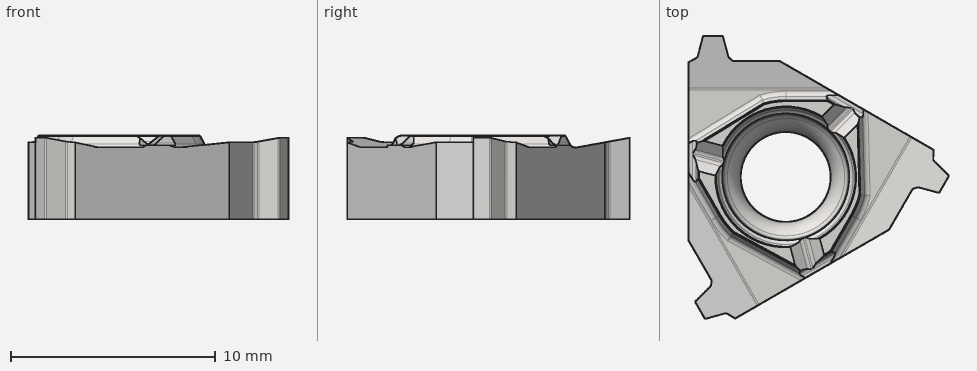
import cadquery as cq
import math

CORNERS = 3
CORNER_STEP = 360 / CORNERS
REACH = 12.0

inradius = 9.525 / 2
shoulder_y = 5.67
tip_y = 6.89
land_end_y = 5.60
left_root = (-4.315, 5.845)
left_tip_x = -4.045
right_tip_x = -3.067
right_root_top = (-2.79, 5.85)
right_root_end_x = -2.59
tip_radius = 0.08
left_root_radius = 0.1
right_root_radius = 0.15

floor_z = 3.52
tip_z = 3.99
boss_z = 4.1
crease_y = 4.305
crease_radius = 0.5

edge_break = 0.04
foot_radius = 0.3
flank_angle = 27.0
main_normal = 90.0
main_top = 3.735
back_top = 3.61
back_normal = 121.5
land_top = 4.27
land_normal = 180.0
land_flank_angle = 18.0
land_foot_radius = 0.2
land_z = 3.61

notch_angle = 165.0
notch_offset = 0.08
notch_floor_z = 3.62
notch_top_width = 1.5
notch_floor_width = 0.3
notch_fillet = 0.3
notch_start = 2.0

throat_radius = 2.19
throat_z = 0.83
seat_radius = 1.9
seat_angle = 50.0
seat_blend_radius = 0.5
wall_taper = 5.0
rim_step = (3.11, 3.62)
rim_step_radius = 0.3
rim_blend = (3.29, 3.81)
rim_top_radius = 3.41


def around_z(shape, angle):
    return shape.rotate((0, 0, 0), (0, 0, 1), angle)


def rotate_point(point, angle):
    a = math.radians(angle)
    x, y = point
    return (x * math.cos(a) - y * math.sin(a), x * math.sin(a) + y * math.cos(a))


def plan_prism(height):
    """Whole plan outline: straight triangle sides joined by three toothed corners."""
    shoulder_end_x = 2 * inradius - math.sqrt(3) * shoulder_y
    corner = [
        (-inradius, land_end_y),
        left_root,
        (left_tip_x, tip_y),
        (right_tip_x, tip_y),
        right_root_top,
        (right_root_end_x, shoulder_y),
        (shoulder_end_x, shoulder_y),
    ]
    outline = []
    for k in range(CORNERS):
        outline += [rotate_point(p, -k * CORNER_STEP) for p in corner]
    prism = cq.Workplane("XY").polyline(outline).close().extrude(height)

    rounded_corners = [
        (left_root, left_root_radius),
        ((left_tip_x, tip_y), tip_radius),
        ((right_tip_x, tip_y), tip_radius),
        (right_root_top, right_root_radius),
        ((right_root_end_x, shoulder_y), right_root_radius),
    ]
    for point, radius in rounded_corners:
        for k in range(CORNERS):
            x, y = rotate_point(point, -k * CORNER_STEP)
            prism = prism.edges(cq.selectors.NearestToPointSelector((x, y, height / 2))).fillet(radius)
    return prism


def tooth_ramp():
    """Wedge that climbs from the crease to the tooth tip, blended into the floor."""
    slope = math.atan2(tip_z - floor_z, tip_y - crease_y)
    blend = crease_radius * math.tan(slope / 2)
    end_y = REACH
    end_z = floor_z + (end_y - crease_y) * math.tan(slope)
    ramp_start = (crease_y + blend * math.cos(slope), floor_z + blend * math.sin(slope))
    profile = (
        cq.Workplane("YZ")
        .moveTo(crease_y - blend, 0)
        .lineTo(crease_y - blend, floor_z)
        .radiusArc(ramp_start, -crease_radius)
        .lineTo(end_y, end_z)
        .lineTo(end_y, 0)
        .close()
    )
    return profile.extrude(REACH, both=True)


def flank_profile(inner, top, angle, radius, foot_z):
    """Section of the chip breaker: broken top edge, sloping flank, concave foot and level ground."""
    lean = math.radians(angle)
    foot_turn = math.pi / 2 - lean
    blend = radius * math.tan(foot_turn / 2)
    base = top + (boss_z - foot_z) * math.tan(lean)
    break_x = top + edge_break * math.tan(lean)
    return (
        cq.Workplane("XZ")
        .moveTo(inner, 0)
        .lineTo(inner, boss_z)
        .lineTo(top - edge_break, boss_z)
        .lineTo(break_x, boss_z - edge_break)
        .lineTo(base - blend * math.sin(lean), foot_z + blend * math.cos(lean))
        .radiusArc((base + blend, foot_z), -radius)
        .lineTo(REACH, foot_z)
        .lineTo(REACH, 0)
        .close()
    )


def flank_prism(normal, top, angle, radius, foot_z):
    """Straight flank facing the given direction, solid on its inner side."""
    prism = flank_profile(-REACH, top, angle, radius, foot_z).extrude(REACH, both=True)
    return around_z(prism, normal)


def chip_breaker():
    """Body up to the floor with the raised chip breaker standing on it."""
    main_flank = (0, main_top, flank_angle, foot_radius, floor_z)
    body = flank_profile(*main_flank).revolve(360, (0, 0, 0), (0, 1, 0))
    tangent_flank = flank_profile(*main_flank).extrude(REACH / 2)
    for k in range(CORNERS):
        body = body.union(around_z(tangent_flank, main_normal + k * CORNER_STEP))
    back_flank = flank_prism(back_normal, back_top, flank_angle, foot_radius, floor_z)
    land_flank = flank_prism(land_normal, land_top, land_flank_angle, land_foot_radius, land_z)
    for k in range(CORNERS):
        body = body.intersect(around_z(back_flank, k * CORNER_STEP))
        body = body.intersect(around_z(land_flank, k * CORNER_STEP))
    return body


def notch_cutter():
    """V groove with a rounded bottom, running outward along its own radius."""
    half_floor = notch_floor_width / 2
    half_top = notch_top_width / 2
    section = [
        (notch_offset - half_floor, notch_floor_z),
        (notch_offset + half_floor, notch_floor_z),
        (notch_offset + half_top, boss_z),
        (notch_offset - half_top, boss_z),
    ]
    cutter = cq.Workplane("YZ", origin=(notch_start, 0, 0)).polyline(section).close().extrude(REACH / 2)
    cutter = cutter.faces("<Z").edges("|X").fillet(notch_fillet)
    return around_z(cutter, notch_angle)


def screw_hole():
    """Revolved bore: flared throat, curved screw seat, tapered wall and stepped rim."""
    def seat_point(angle):
        return (
            throat_radius + seat_radius * (1 - math.cos(angle)),
            throat_z + seat_radius * math.sin(angle),
        )

    bottom_angle = -math.asin(throat_z / seat_radius)
    top_angle = math.radians(seat_angle)
    taper = math.radians(wall_taper)
    seat_top = seat_point(top_angle)
    wall_start = (
        seat_top[0] + seat_blend_radius * (math.cos(taper) - math.cos(top_angle)),
        seat_top[1] + seat_blend_radius * (math.sin(top_angle) - math.sin(taper)),
    )
    profile = (
        cq.Workplane("XZ")
        .lineTo(*seat_point(bottom_angle))
        .threePointArc(seat_point(0), seat_top)
        .radiusArc(wall_start, -seat_blend_radius)
        .lineTo(*rim_step)
        .radiusArc(rim_blend, -rim_step_radius)
        .lineTo(rim_top_radius, boss_z - edge_break)
        .lineTo(rim_top_radius + edge_break, boss_z)
        .lineTo(0, boss_z)
        .close()
    )
    return profile.revolve(360, (0, 0, 0), (0, 1, 0))


ramp = tooth_ramp()
notch = notch_cutter()
result = chip_breaker()
for k in range(CORNERS):
    result = result.union(around_z(ramp, k * CORNER_STEP))
result = result.intersect(plan_prism(boss_z)).cut(screw_hole())
for k in range(CORNERS):
    result = result.cut(around_z(notch, k * CORNER_STEP))